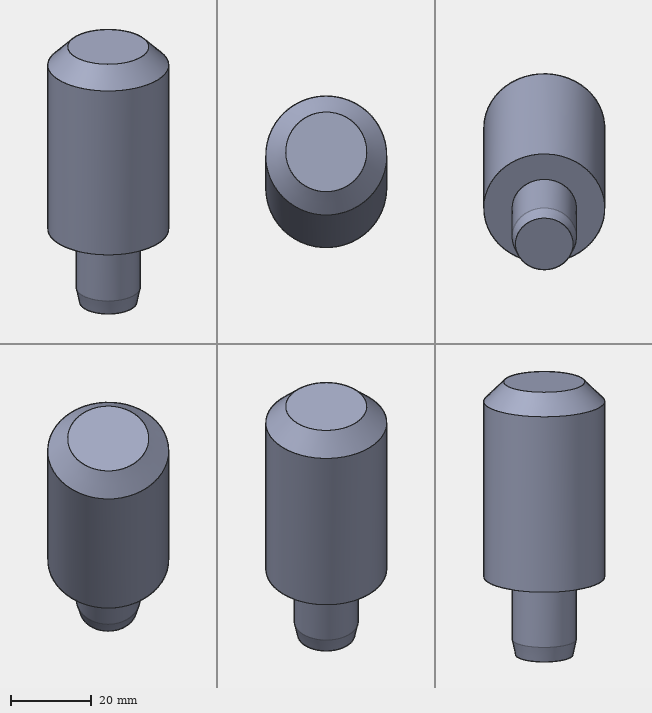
import cadquery as cq

total_length = 70.0
head_diameter = 30.0
head_chamfer = 5.0
shank_diameter = 15.95
shank_length = 20.0
lead_in_height = 4.0
lead_in_inset = 0.85

head_length = total_length - shank_length

head = (
    cq.Workplane("XY")
    .workplane(offset=shank_length)
    .circle(head_diameter / 2)
    .extrude(head_length)
    .faces(">Z")
    .chamfer(head_chamfer)
)

shank = (
    cq.Workplane("XY")
    .circle(shank_diameter / 2)
    .extrude(shank_length)
    .faces("<Z")
    .edges()
    .chamfer(lead_in_height, lead_in_inset)
)

result = head.union(shank)